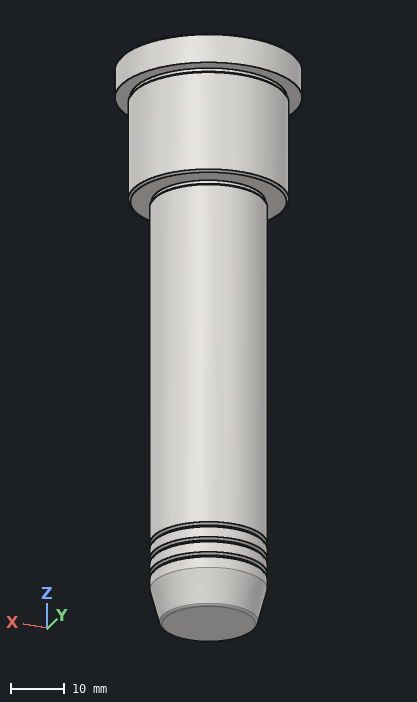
import cadquery as cq
import math

length = 112.0
head_radius = 35.0 / 2
collar_radius = 30.0 / 2
pin_radius = 22.0 / 2

head_bottom = length - 6.0
collar_bottom = length - 27.0
taper_height = 7.0

head_chamfer = 0.5
collar_chamfer = 0.5
tip_fillet = 0.6
taper_angle = 15.0
tip_radius = pin_radius - taper_height * math.tan(math.radians(taper_angle))

relief_depth = 0.3
relief_width = 1.0
relief_ramp = 0.3

groove_count = 3
groove_pitch = 3.0
groove_width = 1.0
groove_depth = 0.5
first_groove_z = 9.5


def cylinder(radius, bottom, top):
    return cq.Workplane("XY").workplane(offset=bottom).circle(radius).extrude(top - bottom)


def ring(profile):
    """Revolve a closed (radius, z) profile about the Z axis."""
    return cq.Workplane("XZ").polyline(profile).close().revolve(360, (0, 0), (0, 1))


def relief(radius, shoulder_z):
    """Shallow undercut below a shoulder, ramping back out to the full radius."""
    neck_radius = radius - relief_depth
    relief_bottom = shoulder_z - relief_width
    return ring([
        (radius, shoulder_z),
        (neck_radius, shoulder_z),
        (neck_radius, relief_bottom + relief_ramp),
        (radius, relief_bottom),
    ])


def groove(center_z):
    """V-shaped groove around the pin."""
    return ring([
        (pin_radius, center_z - groove_width / 2),
        (pin_radius - groove_depth, center_z),
        (pin_radius, center_z + groove_width / 2),
    ])


head = cylinder(head_radius, head_bottom, length).faces(">Z").chamfer(head_chamfer)
collar = cylinder(collar_radius, collar_bottom, head_bottom).faces("<Z").chamfer(collar_chamfer)
pin = cylinder(pin_radius, taper_height, collar_bottom)

tip = ring([(0, 0), (tip_radius, 0), (pin_radius, taper_height), (0, taper_height)])
tip = tip.faces("<Z").edges().fillet(tip_fillet)

result = head.union(collar).union(pin).union(tip)

result = result.cut(relief(collar_radius, head_bottom))
result = result.cut(relief(pin_radius, collar_bottom))
for index in range(groove_count):
    result = result.cut(groove(first_groove_z + index * groove_pitch))